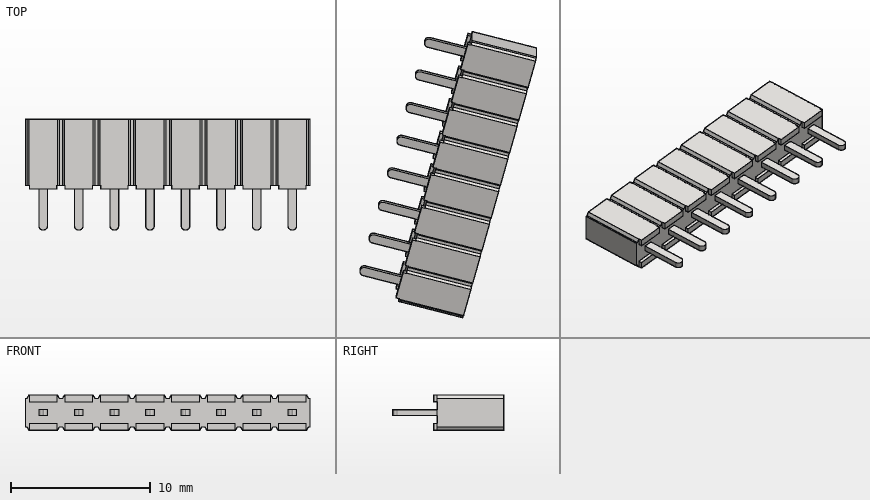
import cadquery as cq

pin_count = 8
pitch = 2.55
row_length = pin_count * pitch
height = 2.55
total_depth = 7.92

body_depth = 4.75
groove_depth = 0.25
groove_floor_width = 0.22
groove_top_width = 0.5

pad_width = 1.97
pad_height = 0.5
pad_projection = 0.25

pin_width = 0.63
pin_thickness = 0.43
pin_tip_radius = 0.3

back_y = total_depth / 2
pin_face_y = back_y - body_depth
pin_tip_y = -total_depth / 2
position_centers = [(i - (pin_count - 1) / 2) * pitch for i in range(pin_count)]
position_borders = [(i - pin_count / 2) * pitch for i in range(pin_count + 1)]


def make_body():
    """Rectangular housing block behind the pin face."""
    center_y = pin_face_y + body_depth / 2
    return cq.Workplane("XY").box(row_length, body_depth, height).translate((0, center_y, 0))


def make_groove(x, side):
    """Trapezoidal groove along Y; side is +1 for the top face and -1 for the bottom."""
    face_z = side * height / 2
    floor_z = side * (height / 2 - groove_depth)
    return (
        cq.Workplane("XZ", origin=(x, back_y, 0))
        .moveTo(-groove_top_width / 2, face_z)
        .lineTo(-groove_floor_width / 2, floor_z)
        .lineTo(groove_floor_width / 2, floor_z)
        .lineTo(groove_top_width / 2, face_z)
        .close()
        .extrude(body_depth)
    )


def make_pad(x, side):
    """Small standoff pad flush with the top (+1) or bottom (-1) face."""
    center_y = pin_face_y - pad_projection / 2
    center_z = side * (height - pad_height) / 2
    return cq.Workplane("XY").box(pad_width, pad_projection, pad_height).translate((x, center_y, center_z))


def make_pin(x):
    """Flat pin whose tip corners are rounded, leaving a narrow flat between them."""
    pin_length = pin_face_y - pin_tip_y
    return (
        cq.Workplane("XY")
        .box(pin_width, pin_length, pin_thickness)
        .edges("|Z and <Y")
        .fillet(pin_tip_radius)
        .translate((x, (pin_face_y + pin_tip_y) / 2, 0))
    )


result = make_body()

for border_x in position_borders:
    for side in (1, -1):
        result = result.cut(make_groove(border_x, side))

for center_x in position_centers:
    for side in (1, -1):
        result = result.union(make_pad(center_x, side))
    result = result.union(make_pin(center_x))